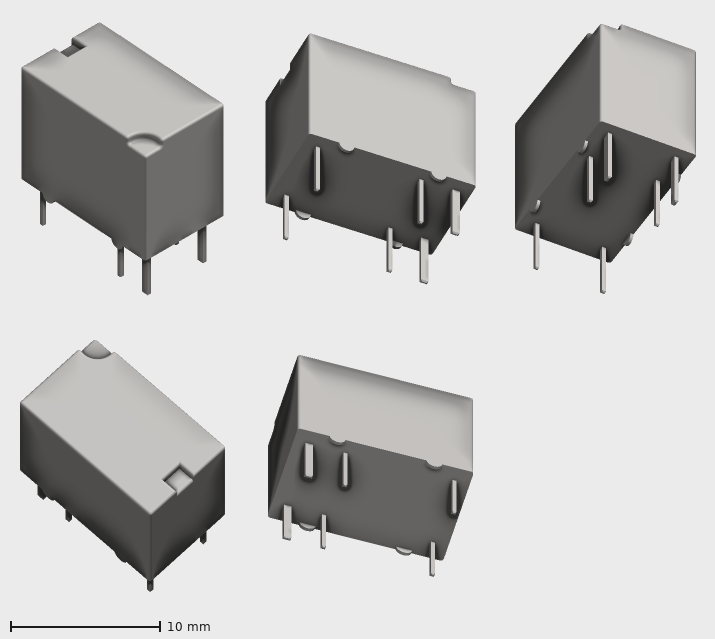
import cadquery as cq

LENGTH = 12.3
WIDTH = 7.31
HEIGHT = 9.5
EDGE_RADIUS = 0.2
RECESS_DEPTH = 0.6

POCKET_LENGTH = 1.3
POCKET_WIDTH = 1.58
POCKET_Y = 0.29

CORNER_RADIUS = 1.25
CORNER_INSET_X = 0.55
CORNER_INSET_Y = 0.33

FOOT_RADIUS = 0.55
FOOT_HEIGHT = 0.5
FOOT_THICKNESS = 0.22
FOOT_X = 3.38

PITCH = 2.54
PIN_LENGTH = 4.0
PIN_THICKNESS = 0.3
WIDE_PIN_WIDTH = 0.55
PIN_CHAMFER = 0.1
PINS = [
    (-2 * PITCH, PIN_THICKNESS),
    (PITCH, PIN_THICKNESS),
    (2 * PITCH, WIDE_PIN_WIDTH),
]

RECESS_FLOOR = HEIGHT - RECESS_DEPTH
TOLERANCE = 0.01


def make_pocket_cutter():
    """Block removed for the end pocket; it runs out through the -X face."""
    return (
        cq.Workplane("XY")
        .box(2 * POCKET_LENGTH, POCKET_WIDTH, 2 * RECESS_DEPTH)
        .translate((-LENGTH / 2, POCKET_Y, HEIGHT))
    )


def make_corner_cutter():
    """Round-ended tool for the corner recess, straight towards the -Y face, with its floor edge rounded."""
    centre_x = LENGTH / 2 - CORNER_INSET_X
    centre_y = -WIDTH / 2 + CORNER_INSET_Y
    tool = (
        cq.Workplane("XY", origin=(centre_x, centre_y, RECESS_FLOOR))
        .moveTo(-CORNER_RADIUS, 0)
        .threePointArc((0, CORNER_RADIUS), (CORNER_RADIUS, 0))
        .vLine(-2 * CORNER_RADIUS)
        .hLine(-2 * CORNER_RADIUS)
        .close()
        .extrude(2 * RECESS_DEPTH)
    )
    return tool.faces("<Z").edges().fillet(EDGE_RADIUS)


def is_rounded_edge(edge):
    """True for edges on the sides and top, except the underside and the pocket's upright edges."""
    box = edge.BoundingBox()
    half_length = LENGTH / 2 - TOLERANCE
    half_width = WIDTH / 2 - TOLERANCE
    on_left_end = box.xmax < -half_length
    on_right_end = box.xmin > half_length
    on_long_side = box.ymax < -half_width or box.ymin > half_width
    on_top = box.zmin > HEIGHT - TOLERANCE
    on_underside = box.zmax < TOLERANCE
    is_upright = box.zmax - box.zmin > TOLERANCE
    on_pocket_mouth = on_left_end and is_upright and not on_long_side
    on_outside = on_left_end or on_right_end or on_long_side or on_top
    return on_outside and not on_underside and not on_pocket_mouth


def make_housing():
    block = cq.Workplane("XY").box(LENGTH, WIDTH, HEIGHT, centered=(True, True, False))
    block = block.cut(make_pocket_cutter()).cut(make_corner_cutter())
    rounded = [edge for edge in block.edges().vals() if is_rounded_edge(edge)]
    return block.newObject(rounded).fillet(EDGE_RADIUS)


def make_foot(x, side):
    """Round-bottomed foot at the +Y (side = 1) or -Y (side = -1) face."""
    disc_z = FOOT_RADIUS - FOOT_HEIGHT
    disc_y = side * (WIDTH - FOOT_THICKNESS) / 2
    return (
        cq.Workplane("XZ")
        .circle(FOOT_RADIUS)
        .extrude(FOOT_THICKNESS / 2, both=True)
        .translate((x, disc_y, disc_z))
    )


def make_pin(x, y, width):
    pin = (
        cq.Workplane("XY")
        .box(width, PIN_THICKNESS, PIN_LENGTH, centered=(True, True, False))
        .faces("<Z")
        .chamfer(PIN_CHAMFER)
    )
    return pin.translate((x, y, -PIN_LENGTH))


result = make_housing()
for side in (-1, 1):
    for foot_x in (-FOOT_X, FOOT_X):
        result = result.union(make_foot(foot_x, side))
    for pin_x, pin_width in PINS:
        result = result.union(make_pin(pin_x, side * PITCH, pin_width))